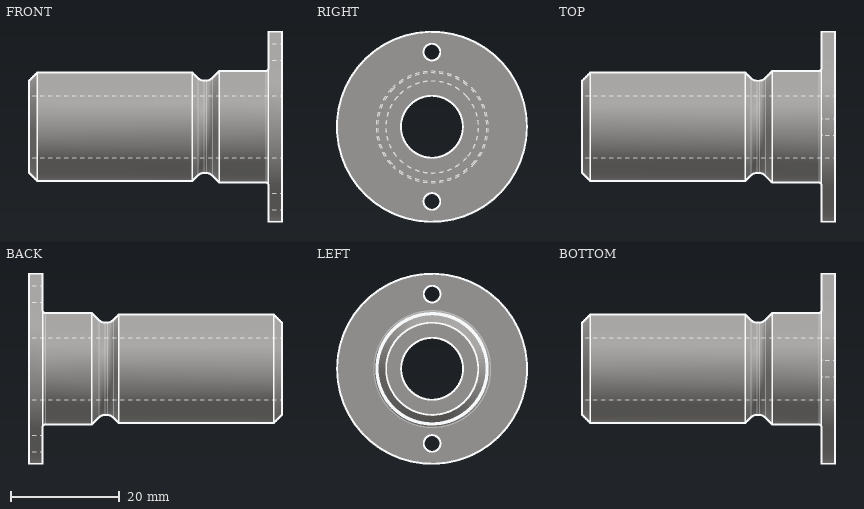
import cadquery as cq
import math

length = 46.5
flange_radius = 17.5
flange_thickness = 2.5
barrel_radius = 10.0
collar_radius = 10.28
bore_radius = 5.65

nose_chamfer = 1.55
collar_fillet = 0.45

groove_floor_radius = 8.5
groove_floor_start = 32.15
groove_floor_width = 0.4
groove_corner_radius = 1.55

hole_diameter = 3.0
hole_offset = 13.7

flange_face = length - flange_thickness
groove_floor_end = groove_floor_start + groove_floor_width

wall_angle = math.radians(45)
corner_run = groove_corner_radius * math.sin(wall_angle)
corner_rise = groove_corner_radius * (1 - math.cos(wall_angle))
half_run = groove_corner_radius * math.sin(wall_angle / 2)
half_rise = groove_corner_radius * (1 - math.cos(wall_angle / 2))

corner_top_radius = groove_floor_radius + corner_rise
corner_mid_radius = groove_floor_radius + half_rise
left_corner_top = groove_floor_start - corner_run
right_corner_top = groove_floor_end + corner_run
barrel_end = left_corner_top - (barrel_radius - corner_top_radius)
collar_start = right_corner_top + (collar_radius - corner_top_radius)


def make_body():
    """Revolve the half section (X along the axis, Y as radius) about X."""
    fillet_center_x = flange_face - collar_fillet
    fillet_center_radius = collar_radius + collar_fillet
    fillet_mid = (
        fillet_center_x + collar_fillet * math.sin(wall_angle),
        fillet_center_radius - collar_fillet * math.cos(wall_angle),
    )
    section = (
        cq.Workplane("XY")
        .moveTo(0, bore_radius)
        .lineTo(0, barrel_radius - nose_chamfer)
        .lineTo(nose_chamfer, barrel_radius)
        .lineTo(barrel_end, barrel_radius)
        .lineTo(left_corner_top, corner_top_radius)
        .threePointArc(
            (groove_floor_start - half_run, corner_mid_radius),
            (groove_floor_start, groove_floor_radius),
        )
        .lineTo(groove_floor_end, groove_floor_radius)
        .threePointArc(
            (groove_floor_end + half_run, corner_mid_radius),
            (right_corner_top, corner_top_radius),
        )
        .lineTo(collar_start, collar_radius)
        .lineTo(fillet_center_x, collar_radius)
        .threePointArc(fillet_mid, (flange_face, fillet_center_radius))
        .lineTo(flange_face, flange_radius)
        .lineTo(length, flange_radius)
        .lineTo(length, bore_radius)
        .close()
    )
    return section.revolve(360, (0, 0, 0), (1, 0, 0))


def make_flange_holes():
    """Cylinders through the flange at +Z and -Z."""
    return (
        cq.Workplane("YZ", origin=(flange_face, 0, 0))
        .pushPoints([(0, hole_offset), (0, -hole_offset)])
        .circle(hole_diameter / 2)
        .extrude(flange_thickness)
    )


result = make_body().cut(make_flange_holes())